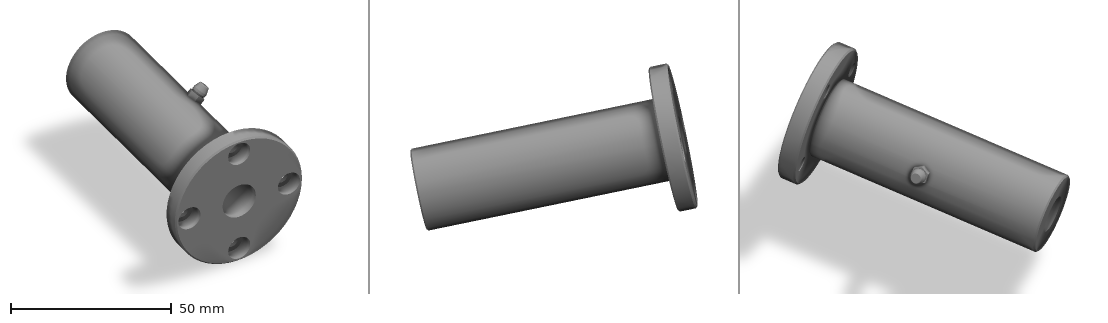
import cadquery as cq

total_length = 84.0
flange_thickness = 6.05
flange_diameter = 46.0
body_diameter = 26.0
bore_diameter = 12.0
edge_chamfer = 0.5
body_length = total_length - flange_thickness

bolt_hole_count = 4
bolt_hole_diameter = 4.8
bolt_circle_diameter = 36.0
counterbore_diameter = 8.0
counterbore_depth = 4.6

nipple_x = 41.0
nipple_tilt = -45.0
hex_across_flats = 5.0
hex_embed = 1.3
hex_top = 14.9
collar_bottom = 15.5
collar_top = 16.4
nipple_top = 18.5
neck_radius = 2.0
collar_radius = 2.39
tip_radius = 1.8
tip_chamfer = 0.2


def chamfered_cylinder(start_x, length, diameter):
    """Cylinder along X with both rims chamfered."""
    cylinder = cq.Workplane("YZ", origin=(start_x, 0, 0)).circle(diameter / 2).extrude(length)
    return cylinder.edges().chamfer(edge_chamfer)


def bolt_circle_cylinders(diameter, depth):
    """One cylinder per bolt, reaching inwards from the flange end face."""
    return (
        cq.Workplane("YZ", origin=(total_length, 0, 0))
        .polarArray(bolt_circle_diameter / 2, 0, 360, bolt_hole_count)
        .circle(diameter / 2)
        .extrude(-depth)
    )


def make_sleeve():
    """Body and flange with the bore and the counterbored bolt holes."""
    body = chamfered_cylinder(0, body_length, body_diameter)
    flange = chamfered_cylinder(body_length, flange_thickness, flange_diameter)
    bore = cq.Workplane("YZ").circle(bore_diameter / 2).extrude(total_length)
    bolt_holes = bolt_circle_cylinders(bolt_hole_diameter, flange_thickness)
    counterbores = bolt_circle_cylinders(counterbore_diameter, counterbore_depth)
    return body.union(flange).cut(bore).cut(bolt_holes).cut(counterbores)


def make_nipple():
    """Hexagon foot with a waisted, conical head, tilted about the sleeve axis."""
    hex_bottom = body_diameter / 2 - hex_embed
    foot = (
        cq.Workplane("XY", origin=(nipple_x, 0, hex_bottom))
        .polygon(6, hex_across_flats, circumscribed=True)
        .extrude(hex_top - hex_bottom)
    )
    head = (
        cq.Workplane("XZ", origin=(nipple_x, 0, 0))
        .moveTo(0, hex_bottom)
        .lineTo(neck_radius, hex_bottom)
        .lineTo(neck_radius, hex_top)
        .lineTo(collar_radius, collar_bottom)
        .lineTo(collar_radius, collar_top)
        .lineTo(tip_radius, nipple_top - tip_chamfer)
        .lineTo(tip_radius - tip_chamfer, nipple_top)
        .lineTo(0, nipple_top)
        .close()
        .revolve(360, (0, 0, 0), (0, 1, 0))
    )
    return foot.union(head).rotate((0, 0, 0), (1, 0, 0), nipple_tilt)


result = make_sleeve().union(make_nipple())